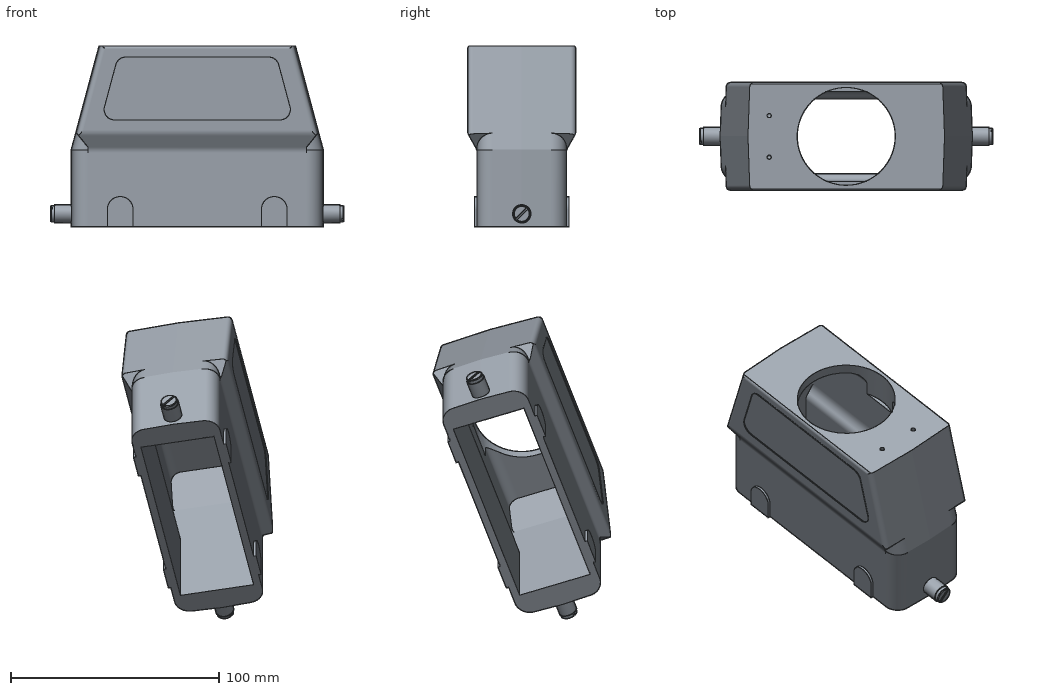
import cadquery as cq
import math

height = 87.0
lower_width = 43.0
upper_width = 52.1
half_length = 60.6
flare_bottom_z = 37.0
flare_top_z = 45.0
flare_blend_radius = 5.0
end_lean = 15.0
end_crown = 2.0
lower_corner_radius = 7.5
upper_corner_radius = 2.5
top_edge_radius = 2.0
top_edge_trim = 0.4

undercut_start_x = 52.4
undercut_start_z = 38.2
undercut_slope = 51.0

lid_thickness = 5.2
cavity_lower_width = 35.8
cavity_upper_width = 43.2
cavity_flare_bottom_z = 41.7
cavity_flare_top_z = 45.4
cavity_flare_bottom_radius = 5.0
cavity_flare_top_radius = 7.4
cavity_half_length = 49.0
cavity_lean_start_z = 61.0
cavity_roof_radius = 5.0
cavity_corner_radius = 1.0

entry_diameter = 47.0
entry_depth = 17.0

pilot_diameter = 2.0
pilot_x = -37.0
pilot_y = 10.0
pilot_depth = 2.0
pilot_tip_depth = 0.6

panel_bottom_z = 51.4
panel_top_z = 81.6
panel_end_margin = 10.5
panel_corner_radius = 5.0
panel_depth = 0.5

pad_x = 37.0
pad_radius = 6.2
pad_height = 14.6
pad_span = 45.4

pin_span = 141.0
pin_diameter = 8.8
pin_tip_diameter = 8.0
pin_tip_length = 2.0
pin_tip_chamfer = 0.4
pin_z = 6.3
pin_root_x = 55.0
slot_width = 0.9
slot_depth = 1.0
slot_angle = -45.0

lean_slope = math.tan(math.radians(end_lean)) / math.cos(math.radians(end_crown))
crown_slope = math.tan(math.radians(end_crown))
cavity_roof_z = height - lid_thickness
oversize = 2 * height


def end_x(z):
    """Half length of the leaning ends in the middle plane at height z."""
    return half_length - (z - flare_bottom_z) * lean_slope


def crowned_plan(middle_x, half_width, z):
    """Plan outline with straight sides and ends that come to a shallow ridge in the middle."""
    side_x = middle_x - half_width * crown_slope
    points = [
        (middle_x, 0),
        (side_x, half_width),
        (-side_x, half_width),
        (-middle_x, 0),
        (-side_x, -half_width),
        (side_x, -half_width),
    ]
    return cq.Workplane("XY", origin=(0, 0, z)).polyline(points).close()


def leaning_block(bottom_z):
    """Block between the leaning ends, much wider than the shell."""
    plan = crowned_plan(end_x(bottom_z), upper_width, bottom_z)
    return plan.extrude(height - bottom_z, taper=end_lean)


def flared_bar(low_width, high_width, low_z, high_z, top_z, low_radius, high_radius, top_radius):
    """Bar along X that widens between two heights, with its bends and top edges rounded."""
    low_y = low_width / 2
    high_y = high_width / 2
    section = cq.Workplane("YZ").moveTo(-low_y, 0).lineTo(low_y, 0).lineTo(low_y, low_z)
    section = section.lineTo(high_y, high_z).lineTo(high_y, top_z).lineTo(-high_y, top_z)
    section = section.lineTo(-high_y, high_z).lineTo(-low_y, low_z).close()
    bar = section.extrude(half_length, both=True)
    margin = 1
    for z, radius in ((low_z, low_radius), (high_z, high_radius), (top_z, top_radius)):
        low_limit = (-margin, -high_width, z - margin)
        high_limit = (margin, high_width, z + margin)
        edges = cq.selectors.BoxSelector(low_limit, high_limit)
        bar = bar.edges("|X").edges(edges).fillet(radius)
    return bar


def round_corners(block, bottom_z, top_z, radius):
    """Rounds the four rising edges where the ends meet the sides."""
    margin = 1
    low_z = bottom_z + margin
    high_z = top_z - margin
    front = cq.selectors.BoxSelector((-oversize, -oversize, low_z), (oversize, -margin, high_z))
    back = cq.selectors.BoxSelector((-oversize, margin, low_z), (oversize, oversize, high_z))
    return block.edges(front + back).fillet(radius)


def corner_undercut():
    """Wedges below the wide part at both ends."""
    end_z = undercut_start_z + (half_length - undercut_start_x) * math.tan(math.radians(undercut_slope))
    profile = [
        (undercut_start_x, 0),
        (undercut_start_x, undercut_start_z),
        (half_length, end_z),
        (oversize, end_z),
        (oversize, 0),
    ]
    wedge = cq.Workplane("XZ").polyline(profile).close().extrude(oversize, both=True)
    return wedge.union(wedge.mirror("YZ"))


def upper_shell():
    """Wide part with leaning ends, flared into the lower part along its sides."""
    bottom_z = flare_bottom_z - flare_blend_radius
    sides = cq.Workplane("XY").box(oversize, upper_width, oversize)
    block = leaning_block(bottom_z).intersect(sides)
    block = round_corners(block, bottom_z, height, upper_corner_radius)
    bar = flared_bar(
        lower_width,
        upper_width,
        flare_bottom_z,
        flare_top_z,
        height + top_edge_trim,
        flare_blend_radius,
        flare_blend_radius,
        top_edge_radius,
    )
    return block.intersect(bar).cut(corner_undercut())


def lower_shell():
    """Narrow part with upright rounded corners that run up into the wide part."""
    top_z = flare_top_z + flare_blend_radius
    upright = crowned_plan(half_length, lower_width / 2, 0).extrude(flare_bottom_z)
    upright = round_corners(upright, 0, flare_bottom_z, lower_corner_radius)
    sides = cq.Workplane("XY").box(oversize, lower_width, 2 * top_z)
    leaning = leaning_block(flare_bottom_z).intersect(sides)
    leaning = round_corners(leaning, flare_bottom_z, top_z, lower_corner_radius)
    return upright.union(leaning)


def cavity():
    """Hollow of the hood: flared sides, upright ends that lean inward near the roof."""
    bar = flared_bar(
        cavity_lower_width,
        cavity_upper_width,
        cavity_flare_bottom_z,
        cavity_flare_top_z,
        cavity_roof_z,
        cavity_flare_bottom_radius,
        cavity_flare_top_radius,
        cavity_roof_radius,
    )
    roof_x = cavity_half_length - (cavity_roof_z - cavity_lean_start_z) * lean_slope
    profile = [
        (cavity_half_length, 0),
        (cavity_half_length, cavity_lean_start_z),
        (roof_x, cavity_roof_z),
        (-roof_x, cavity_roof_z),
        (-cavity_half_length, cavity_lean_start_z),
        (-cavity_half_length, 0),
    ]
    ends = cq.Workplane("XZ").polyline(profile).close().extrude(cavity_upper_width / 2, both=True)
    ends = ends.edges("|Z").fillet(cavity_corner_radius)
    return bar.intersect(ends)


def cable_entry():
    """Round opening through the lid that also bites into the side walls."""
    return cq.Workplane("XY", origin=(0, 0, height - entry_depth)).circle(entry_diameter / 2).extrude(entry_depth)


def pilot_hole(y):
    """Blind hole in the lid with a conical end."""
    radius = pilot_diameter / 2
    full_depth = pilot_depth + pilot_tip_depth
    half_section = [(0, 0), (radius, 0), (radius, -pilot_depth), (0, -full_depth)]
    hole = cq.Workplane("XZ").polyline(half_section).close().revolve(360, (0, 0), (0, 1))
    return hole.translate((pilot_x, y, height))


def side_panel():
    """Shallow trapezoid in the -Y side, its ends parallel to the leaning ends."""
    bottom_x = end_x(panel_bottom_z) - panel_end_margin
    top_x = end_x(panel_top_z) - panel_end_margin
    outline = [
        (bottom_x, panel_bottom_z),
        (top_x, panel_top_z),
        (-top_x, panel_top_z),
        (-bottom_x, panel_bottom_z),
    ]
    panel = cq.Workplane("XZ", origin=(0, -upper_width / 2, 0)).polyline(outline).close().extrude(-panel_depth)
    return panel.edges("|Y").fillet(panel_corner_radius)


def pad_pair(x):
    """Round-topped pads standing proud of both sides, joined through the shell."""
    pad = cq.Workplane("XZ").moveTo(x - pad_radius, 0).lineTo(x + pad_radius, 0)
    pad = pad.lineTo(x + pad_radius, pad_height - pad_radius)
    pad = pad.threePointArc((x, pad_height), (x - pad_radius, pad_height - pad_radius)).close()
    return pad.extrude(pad_span / 2, both=True)


def locking_pin():
    """Pin on the -X end with a reduced, slotted tip."""
    tip_x = pin_span / 2
    shank_length = tip_x - pin_tip_length - pin_root_x
    pin = cq.Workplane("YZ", origin=(pin_root_x, 0, 0)).circle(pin_diameter / 2).extrude(shank_length)
    pin = pin.faces(">X").workplane().circle(pin_tip_diameter / 2).extrude(pin_tip_length)
    pin = pin.faces(">X").edges().chamfer(pin_tip_chamfer)
    slot = cq.Workplane("XY").box(2 * slot_depth, pin_diameter, slot_width).translate((tip_x, 0, 0))
    slot = slot.rotate((0, 0, 0), (1, 0, 0), slot_angle)
    return pin.cut(slot).translate((0, 0, pin_z)).mirror("YZ")


def build_hood():
    """Complete hood with its pads, pins and openings."""
    hood = lower_shell().union(upper_shell())
    for x in (-pad_x, pad_x):
        hood = hood.union(pad_pair(x))
    pin = locking_pin()
    hood = hood.union(pin).union(pin.rotate((0, 0, 0), (0, 0, 1), 180))
    hood = hood.cut(cavity()).cut(cable_entry())
    for y in (-pilot_y, pilot_y):
        hood = hood.cut(pilot_hole(y))
    panel = side_panel()
    return hood.cut(panel).cut(panel.mirror("XZ"))


result = build_hood()